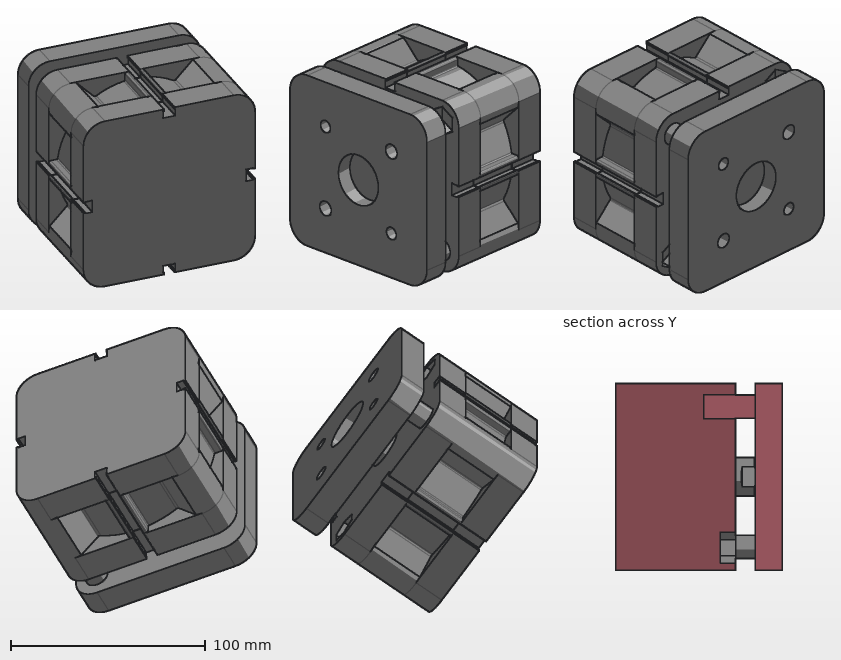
import cadquery as cq
import math

side = 96.0
corner_radius = 12.0
plate_thickness = 14.0
gap = 10.0
cap_length = 16.3
total_length = 85.5
front_face = plate_thickness + gap
barrel_start = front_face + cap_length
rear_cap_start = total_length - cap_length
barrel_length = rear_cap_start - barrel_start
post_offset = side / 2 - corner_radius

plate_bore_diameter = 27.9
plate_bore_depth = 8.6
plate_hole_offset = 23.0
thread_hole_diameter = 6.8
dowel_hole_diameter = 8.1

tube_radius = 43.4
web_half_width = 10.6
web_angle = 45
web_fillet = 1.2
edge_tolerance = 0.01
rib_half_width = 5.4
rib_corner_radius = 1.2
rib_fillet = 0.8

cap_mouth_half_width = 3.0
cap_inner_half_width = 3.4
cap_slot_lip = 1.2
cap_slot_depth = 5.0
barrel_mouth_half_width = 2.8
barrel_inner_half_width = 3.1
barrel_slot_lip = 1.2
barrel_slot_depth = 4.6
slot_edge_radius = 0.4

socket_across_flats = 14.0
socket_depth = 7.8
socket_offset = 36.4

guide_diameter = 12.0
rod_diameter = 20.0
rod_flats_width = 17.0
rod_flats_length = 6.5
rod_shoulder_run = 0.6
rod_chamfer = 0.4


def section(x):
    """Workplane across the cylinder axis at x, with local axes Y and Z."""
    return cq.Workplane("YZ", origin=(x, 0, 0))


def rounded_block(x, length):
    block = section(x).rect(side, side).extrude(length)
    return block.edges("|X").fillet(corner_radius)


def quarter_turns(shape):
    """The shape together with its copies at every quarter turn about the X axis."""
    turned = shape
    for angle in (90, 180, 270):
        turned = turned.union(shape.rotate((0, 0, 0), (1, 0, 0), angle))
    return turned


def make_plate():
    plate = rounded_block(0, plate_thickness)
    plate = plate.cut(section(0).circle(plate_bore_diameter / 2).extrude(plate_bore_depth))
    offset = plate_hole_offset
    threads = section(0).pushPoints([(offset, offset), (-offset, -offset)])
    dowels = section(0).pushPoints([(offset, -offset), (-offset, offset)])
    plate = plate.cut(threads.circle(thread_hole_diameter / 2).extrude(plate_thickness))
    return plate.cut(dowels.circle(dowel_hole_diameter / 2).extrude(plate_thickness))


def make_corner_web():
    """Diagonal web from the axis to a corner post whose round end is cut to the web width."""
    reach = math.sqrt(corner_radius**2 - web_half_width**2)
    post_distance = post_offset * math.sqrt(2)
    web = (
        section(barrel_start)
        .moveTo(0, -web_half_width)
        .lineTo(post_distance + reach, -web_half_width)
        .threePointArc((post_distance + corner_radius, 0), (post_distance + reach, web_half_width))
        .lineTo(0, web_half_width)
        .close()
        .extrude(barrel_length)
    )
    return web.rotate((0, 0, 0), (1, 0, 0), web_angle)


def make_rib():
    """Rib along the middle of the +Y side that carries the sensor slot."""
    rib = section(barrel_start).center(side / 4, 0).rect(side / 2, 2 * rib_half_width)
    return rib.extrude(barrel_length).edges("|X and >Y").fillet(rib_corner_radius)


def make_barrel_slot():
    """Sensor slot of the +Y rib, with a mouth that flares out into rounded edges."""
    slot = make_sensor_slot(
        barrel_start,
        barrel_length,
        barrel_mouth_half_width,
        barrel_inner_half_width,
        barrel_slot_lip,
        barrel_slot_depth,
    )
    radius = slot_edge_radius
    flare = section(barrel_start).center(side / 2 - radius / 2, 0)
    flare = flare.rect(radius, 2 * (barrel_mouth_half_width + radius)).extrude(barrel_length)
    for direction in (1, -1):
        edge_centre = direction * (barrel_mouth_half_width + radius)
        lip_edge = section(barrel_start).center(side / 2 - radius, edge_centre)
        flare = flare.cut(lip_edge.circle(radius).extrude(barrel_length))
    return slot.union(flare)


def root_edges(barrel, lateral_distance):
    """Lengthwise edges on the tube surface at the given distance from a mid-plane."""
    along_tube = math.sqrt(tube_radius**2 - lateral_distance**2)
    corners = [(along_tube, lateral_distance), (lateral_distance, along_tube)]
    selected = []
    for edge in barrel.edges("|X").vals():
        middle = edge.Center()
        for y, z in corners:
            if math.hypot(abs(middle.y) - y, abs(middle.z) - z) < edge_tolerance:
                selected.append(edge)
    return barrel.newObject(selected)


def make_barrel():
    barrel = section(barrel_start).circle(tube_radius).extrude(barrel_length)
    barrel = barrel.union(quarter_turns(make_corner_web())).union(quarter_turns(make_rib()))
    web_root_angle = math.radians(web_angle) - math.asin(web_half_width / tube_radius)
    barrel = root_edges(barrel, tube_radius * math.sin(web_root_angle)).fillet(web_fillet)
    barrel = root_edges(barrel, rib_half_width).fillet(rib_fillet)
    return barrel.cut(quarter_turns(make_barrel_slot()))


def make_sensor_slot(start, length, mouth_half_width, inner_half_width, lip, depth):
    """T-shaped sensor slot along the +Y side."""
    mouth = section(start).center(side / 2 - depth / 2, 0)
    mouth = mouth.rect(depth, 2 * mouth_half_width).extrude(length)
    inner = section(start).center(side / 2 - (lip + depth) / 2, 0)
    return mouth.union(inner.rect(depth - lip, 2 * inner_half_width).extrude(length))


def make_cap(start):
    slot = make_sensor_slot(
        start, cap_length, cap_mouth_half_width, cap_inner_half_width, cap_slot_lip, cap_slot_depth
    )
    return rounded_block(start, cap_length).cut(quarter_turns(slot))


def make_sockets():
    """Hexagon sockets on the diagonal without guide rods, with flats facing +Y and -Y."""
    circumscribed = socket_across_flats / math.cos(math.radians(30))
    hexagon = section(front_face).polygon(6, circumscribed).extrude(socket_depth)
    hexagon = hexagon.rotate((0, 0, 0), (1, 0, 0), 30)
    upper = hexagon.translate((0, -socket_offset, socket_offset))
    return upper.union(hexagon.translate((0, socket_offset, -socket_offset)))


def make_housing(rods):
    housing = make_cap(front_face).union(make_barrel()).union(make_cap(rear_cap_start))
    housing = housing.cut(make_sockets())
    for rod in rods:
        housing = housing.cut(rod)
    return housing


def make_guide_rod(y, z):
    """Guide rod from the plate to the back of the front cap."""
    rod = section(plate_thickness).center(y, z).circle(guide_diameter / 2)
    return rod.extrude(gap + cap_length)


def make_piston_rod():
    """Piston rod with two wrench flats behind the plate, each ending in a sloped shoulder."""
    radius = rod_diameter / 2
    rod = section(plate_thickness).circle(radius).extrude(gap + cap_length)
    rod = rod.faces("<X").chamfer(rod_chamfer)
    flat_end = plate_thickness + rod_flats_length
    flat = (
        cq.Workplane("XY", origin=(0, 0, -radius))
        .moveTo(plate_thickness, rod_flats_width / 2)
        .lineTo(flat_end, rod_flats_width / 2)
        .lineTo(flat_end + rod_shoulder_run, radius)
        .lineTo(plate_thickness, radius)
        .close()
        .extrude(rod_diameter)
    )
    return rod.cut(flat).cut(flat.mirror("XZ"))


plate = make_plate()
piston_rod = make_piston_rod()
guide_rods = []
for direction in (1, -1):
    guide_rods.append(make_guide_rod(direction * post_offset, direction * post_offset))
housing = make_housing([piston_rod, *guide_rods])

bodies = [plate, housing, piston_rod, *guide_rods]
result = cq.Compound.makeCompound([body.val() for body in bodies])